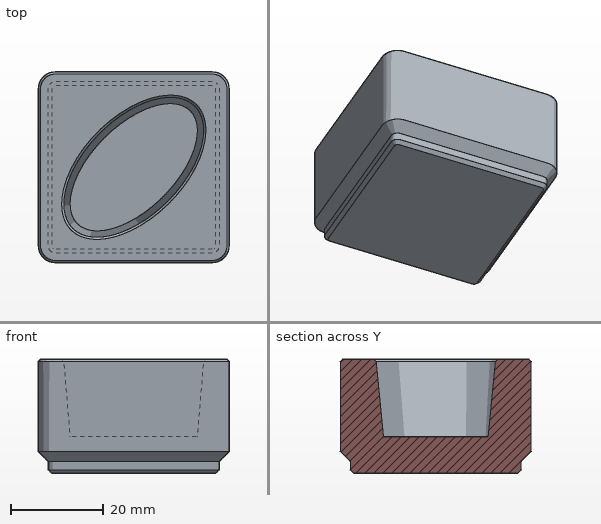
import cadquery as cq
import math

width = 41.5
height = 24.8
corner_radius = 3.75
top_chamfer = 0.5

foot_chamfer = 0.8
foot_wall_height = 1.8
flare = 2.15
foot_height = foot_chamfer + foot_wall_height
body_bottom = foot_height + flare

pocket_length = 38.5
pocket_width = 21.9
pocket_depth = 16.85
pocket_angle = 45.0
wall_draft = 5.0
rim_chamfer = 0.5


def rounded_prism(inset, bottom, top):
    """Upright rounded square, drawn in by the inset on every side."""
    side = width - 2 * inset
    return (
        cq.Workplane("XY", origin=(0, 0, bottom))
        .rect(side, side)
        .extrude(top - bottom)
        .edges("|Z")
        .fillet(corner_radius - inset)
    )


def make_block():
    """Body flaring out from a narrower foot, with chamfered top and bottom edges."""
    body = rounded_prism(0, foot_height, height)
    body = body.faces(">Z").chamfer(top_chamfer)
    body = body.faces("<Z").chamfer(flare)
    foot = rounded_prism(flare, 0, body_bottom)
    foot = foot.faces("<Z").chamfer(foot_chamfer)
    return body.union(foot)


def ellipse_frustum(top, depth, top_inset, bottom_inset):
    """Ellipse narrowing downward, inset from the pocket mouth at each end."""
    return (
        cq.Workplane("XY", origin=(0, 0, top - depth))
        .ellipse(pocket_length / 2 - bottom_inset, pocket_width / 2 - bottom_inset)
        .workplane(offset=depth)
        .ellipse(pocket_length / 2 - top_inset, pocket_width / 2 - top_inset)
        .loft(ruled=True)
    )


def make_pocket():
    wall_depth = pocket_depth - rim_chamfer
    floor_inset = rim_chamfer + wall_depth * math.tan(math.radians(wall_draft))
    rim = ellipse_frustum(height, rim_chamfer, 0, rim_chamfer)
    wall = ellipse_frustum(height - rim_chamfer, wall_depth, rim_chamfer, floor_inset)
    return rim.union(wall).rotate((0, 0, 0), (0, 0, 1), pocket_angle)


result = make_block().cut(make_pocket())